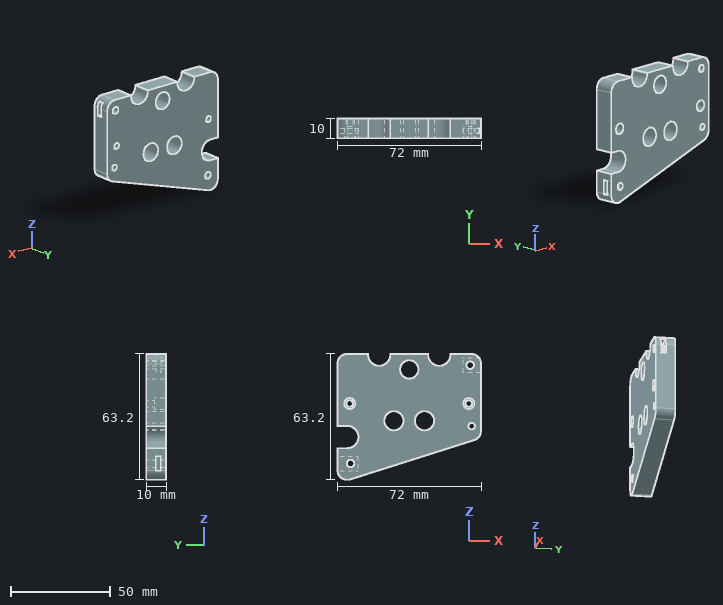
import cadquery as cq
import math

length = 72.0
thickness = 10.0
height = 63.2
corner_radius = 5.0
lower_edge_angle = math.radians(17.6)
mid_x = length / 2

notch_diameter = 11.0
notch_radius = notch_diameter / 2
top_notch_spacing = 30.1
top_notch_depth = 6.0
side_notch_depth = 10.5
side_notch_z = 21.5

upper_hole_diameter = 9.1
upper_hole_z = 55.4
middle_hole_diameter = 9.5
middle_hole_spacing = 15.3
middle_hole_z = 29.7

screw_diameter = 3.2
counterbore_diameter = 5.55
counterbore_depth = 6.0
screw_spacing = 59.7
screw_z = 38.3

pin_x = 67.25
pin_z = 27.0
pin_diameter = 3.2

bolt_diameter = 3.7
left_bolt_x = 6.6
left_bolt_z = 8.3
right_bolt_x = 66.5
right_bolt_z = 57.5
nut_width = 7.35
nut_slot_thickness = 2.5
nut_slot_front_y = 2.7


def cylinder(x, z, diameter, depth=thickness):
    """Cylinder running from the front face toward +Y."""
    return cq.Workplane("XZ", origin=(x, 0, z)).circle(diameter / 2).extrude(-depth)


def box(x_min, x_max, y_min, y_max, z_min, z_max):
    """Box between the given limits."""
    size = (x_max - x_min, y_max - y_min, z_max - z_min)
    return cq.Workplane("XY").box(*size, centered=False).translate((x_min, y_min, z_min))


def plate():
    """Rounded plate whose lower-left corner arc touches Z = 0."""
    slope = math.tan(lower_edge_angle)
    left_z = corner_radius * (1 - 1 / math.cos(lower_edge_angle) - slope)
    right_z = left_z + length * slope
    outline = [(0, left_z), (length, right_z), (length, height), (0, height)]
    body = cq.Workplane("XZ").polyline(outline).close().extrude(-thickness)
    return body.edges("|Y").fillet(corner_radius)


def top_notch(x):
    """Notch open at the top edge."""
    center_z = height - top_notch_depth + notch_radius
    mouth = box(x - notch_radius, x + notch_radius, 0, thickness, center_z, height)
    return cylinder(x, center_z, notch_diameter).union(mouth)


def side_notch():
    """Notch open at the left edge."""
    center_x = side_notch_depth - notch_radius
    mouth = box(0, center_x, 0, thickness, side_notch_z - notch_radius, side_notch_z + notch_radius)
    return cylinder(center_x, side_notch_z, notch_diameter).union(mouth)


def nut_slot(x_min, x_max, z):
    """Slot centred on a bolt hole, one nut width high."""
    back_y = nut_slot_front_y + nut_slot_thickness
    return box(x_min, x_max, nut_slot_front_y, back_y, z - nut_width / 2, z + nut_width / 2)


result = plate().cut(side_notch())

for side in (-1, 1):
    result = result.cut(top_notch(mid_x + side * top_notch_spacing / 2))
    result = result.cut(cylinder(mid_x + side * middle_hole_spacing / 2, middle_hole_z, middle_hole_diameter))
    screw_x = mid_x + side * screw_spacing / 2
    result = result.cut(cylinder(screw_x, screw_z, screw_diameter))
    result = result.cut(cylinder(screw_x, screw_z, counterbore_diameter, counterbore_depth))

result = result.cut(cylinder(mid_x, upper_hole_z, upper_hole_diameter))
result = result.cut(cylinder(pin_x, pin_z, pin_diameter))
result = result.cut(cylinder(left_bolt_x, left_bolt_z, bolt_diameter))
result = result.cut(cylinder(right_bolt_x, right_bolt_z, bolt_diameter))

result = result.cut(nut_slot(0, left_bolt_x + nut_width / 2, left_bolt_z))
result = result.cut(nut_slot(right_bolt_x - nut_width / 2, length, right_bolt_z))